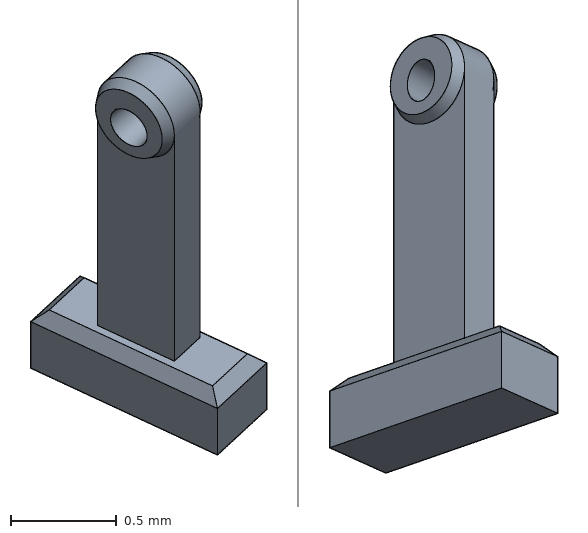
import cadquery as cq

base_length = 1.085
base_width = 0.405
base_height = 0.36
base_bevel_height = 0.068
end_bevel = 0.068
front_bevel = 0.055
back_bevel = 0.062

total_height = 2.0
stem_width = 0.445
stem_thickness = 0.21
eye_radius = stem_width / 2
eye_center_z = total_height - eye_radius
face_radius = 0.195
collar_length = 0.058

hole_radius = 0.105
hole_back_half_width = 0.085
hole_drop = 0.025
hole_center_z = eye_center_z - hole_drop


def make_base():
    """Block topped by a bevelled slab whose front slope is steeper than its back slope."""
    shoulder_z = base_height - base_bevel_height
    block = cq.Workplane("XY").box(base_length, base_width, shoulder_z, centered=(True, True, False))
    top_length = base_length - 2 * end_bevel
    top_width = base_width - front_bevel - back_bevel
    top_shift = (front_bevel - back_bevel) / 2
    slopes = (
        block.faces(">Z").workplane(origin=(0, 0, shoulder_z))
        .rect(base_length, base_width)
        .workplane(offset=base_bevel_height)
        .center(0, top_shift)
        .rect(top_length, top_width)
        .loft(ruled=True, combine=False)
    )
    return block.union(slopes)


def make_stem():
    height = eye_center_z - base_height
    return (
        cq.Workplane("XY", origin=(0, 0, base_height))
        .box(stem_width, stem_thickness, height, centered=(True, True, False))
    )


def make_eye():
    """Disc as thick as the stem, with a tapered collar on each side."""
    half_disc = stem_thickness / 2
    half_eye = half_disc + collar_length
    profile = (
        cq.Workplane("XY")
        .moveTo(0, -half_eye)
        .lineTo(face_radius, -half_eye)
        .lineTo(eye_radius, -half_disc)
        .lineTo(eye_radius, half_disc)
        .lineTo(face_radius, half_eye)
        .lineTo(0, half_eye)
        .close()
    )
    return profile.revolve(360, (0, 0, 0), (0, 1, 0)).translate((0, 0, eye_center_z))


def make_hole():
    hole_length = stem_thickness + 2 * collar_length
    return (
        cq.Workplane("XZ", origin=(0, hole_length / 2, hole_center_z))
        .ellipse(hole_back_half_width, hole_radius)
        .workplane(offset=hole_length)
        .circle(hole_radius)
        .loft(ruled=True)
    )


result = make_base().union(make_stem()).union(make_eye()).cut(make_hole())